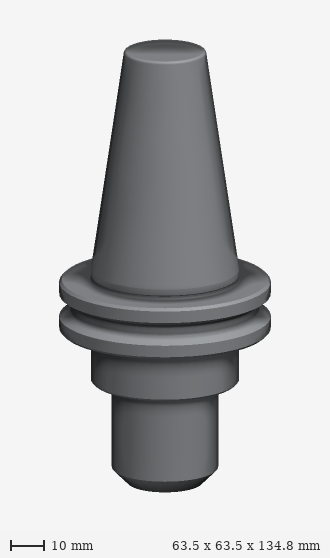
import cadquery as cq
import math

total_length = 134.8

shank_radius = 32.0 / 2
shank_tip_chamfer = 4.7

collar_radius = 44.5 / 2
collar_bottom = 31.5
collar_chamfer = 0.7

flange_radius = 63.5 / 2
flange_bottom = 47.5
flange_top = 63.4
flange_chamfer = 0.8
groove_floor_radius = 56.3 / 2
groove_floor_width = 3.0
groove_flank_angle = 30.0
groove_fillet = 0.8

taper_bottom_radius = collar_radius
relief_depth = 0.3
relief_top = 64.7
neck_radius = taper_bottom_radius - relief_depth
neck_fillet = 0.8
taper_bottom = 66.6

taper_top_radius = 12.3
taper_top_fillet = 1.0

groove_center = (flange_bottom + flange_top) / 2
floor_half = groove_floor_width / 2
flank_rise = (flange_radius - groove_floor_radius) * math.tan(math.radians(groove_flank_angle))
mouth_half = floor_half + flank_rise

shank_points = [
    (0, 0),
    (shank_radius - shank_tip_chamfer, 0),
    (shank_radius, shank_tip_chamfer),
    (shank_radius, collar_bottom),
]

collar_points = [
    (collar_radius - collar_chamfer, collar_bottom),
    (collar_radius, collar_bottom + collar_chamfer),
    (collar_radius, flange_bottom),
]

flange_points = [
    (flange_radius - flange_chamfer, flange_bottom),
    (flange_radius, flange_bottom + flange_chamfer),
    (flange_radius, groove_center - mouth_half),
    (groove_floor_radius, groove_center - floor_half),
    (groove_floor_radius, groove_center + floor_half),
    (flange_radius, groove_center + mouth_half),
    (flange_radius, flange_top - flange_chamfer),
    (flange_radius - flange_chamfer, flange_top),
]

taper_points = [
    (neck_radius, flange_top),
    (neck_radius, relief_top - relief_depth),
    (taper_bottom_radius, relief_top),
    (taper_bottom_radius, taper_bottom),
    (taper_top_radius, total_length),
    (0, total_length),
]

profile = shank_points + collar_points + flange_points + taper_points
body = cq.Workplane("XZ").polyline(profile).close().revolve(360, (0, 0, 0), (0, 1, 0))


def fillet_ring(solid, radius, height, fillet):
    """Round the circular edge found at a given radius and height."""
    margin = 0.01
    lower = (-radius - margin, -radius - margin, height - margin)
    upper = (radius + margin, radius + margin, height + margin)
    inside = cq.selectors.BoxSelector(lower, upper, boundingbox=True)
    outermost = cq.selectors.RadiusNthSelector(-1)
    return solid.edges(inside).edges("%CIRCLE").edges(outermost).fillet(fillet)


for side in (-1, 1):
    body = fillet_ring(body, groove_floor_radius, groove_center + side * floor_half, groove_fillet)
body = fillet_ring(body, neck_radius, flange_top, neck_fillet)
body = fillet_ring(body, taper_top_radius, total_length, taper_top_fillet)

result = body